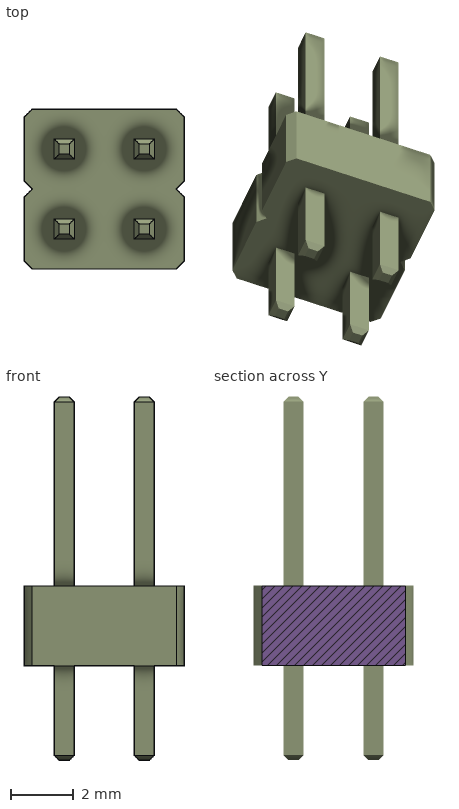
import cadquery as cq

pitch = 2.54
columns = 2
rows = 2

body_height = 2.54
body_length = columns * pitch
cell_chamfer = 0.25

pin_width = 0.64
pin_below = 3.0
pin_above = 6.0
pin_length = pin_below + body_height + pin_above
tip_chamfer = pin_width / 4


def make_row_body(center_y):
    """Body block for one row of pins, chamfered along its four upright edges."""
    return (
        cq.Workplane("XY")
        .center(0, center_y)
        .rect(body_length, pitch)
        .extrude(body_height)
        .edges("|Z")
        .chamfer(cell_chamfer)
    )


def make_pin(center_x, center_y):
    """Square pin tapered to a smaller flat at both ends."""
    return (
        cq.Workplane("XY", origin=(center_x, center_y, -pin_below))
        .rect(pin_width, pin_width)
        .extrude(pin_length)
        .faces("<Z or >Z")
        .chamfer(tip_chamfer)
    )


def centered_positions(count):
    """Positions spaced by the pitch and centered on zero."""
    return [(index - (count - 1) / 2) * pitch for index in range(count)]


result = cq.Workplane("XY")
for row_y in centered_positions(rows):
    result = result.union(make_row_body(row_y))

for row_y in centered_positions(rows):
    for column_x in centered_positions(columns):
        result = result.union(make_pin(column_x, row_y))

result = result.clean()